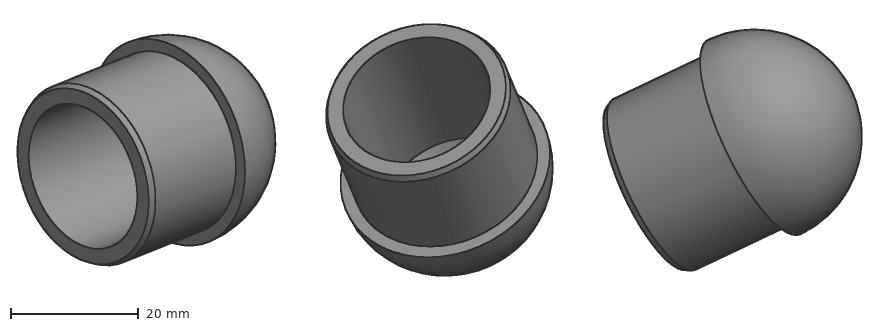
import cadquery as cq

total_length = 35.85
dome_radius = 16.85
stem_radius = 14.85
bore_radius = 11.83
inner_sphere_radius = stem_radius
chamfer_length = 1.0
chamfer_depth = 0.5

stem_length = total_length - dome_radius


def quarter_disc(radius):
    """Quarter disc that revolves into a hemisphere on the +Y side."""
    arc_middle = radius * 0.5**0.5
    return (
        cq.Workplane("XY")
        .lineTo(radius, 0)
        .threePointArc((arc_middle, arc_middle), (0, radius))
        .close()
    )


def revolve_about_y(profile):
    return profile.revolve(360, (0, 0, 0), (0, 1, 0))


dome = revolve_about_y(quarter_disc(dome_radius))

stem_profile = (
    cq.Workplane("XY")
    .lineTo(stem_radius, 0)
    .lineTo(stem_radius, chamfer_length - stem_length)
    .lineTo(stem_radius - chamfer_depth, -stem_length)
    .lineTo(0, -stem_length)
    .close()
)
stem = revolve_about_y(stem_profile)

bore_length = stem_length + inner_sphere_radius
bore_cylinder = (
    cq.Workplane("XZ", origin=(0, -stem_length, 0))
    .circle(bore_radius)
    .extrude(-bore_length)
)
beyond_inner_sphere = (
    cq.Workplane("XZ")
    .circle(dome_radius)
    .extrude(-dome_radius)
    .cut(cq.Workplane("XY").sphere(inner_sphere_radius))
)
bore = bore_cylinder.cut(beyond_inner_sphere)

result = dome.union(stem).cut(bore)